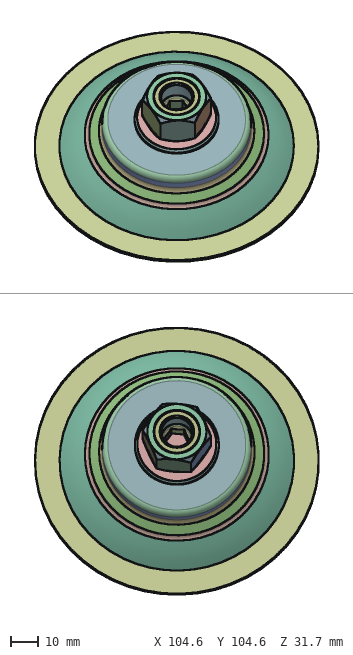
import cadquery as cq
import math

LIP_THICKNESS = 1.0
SKIRT_TOP_Z = 7.6
STEP_TOP_Z = 8.8
SHOULDER_TOP_Z = 10.4
FLARE_TOP_Z = 12.3
CUP_TOP_Z = 17.3
COLLAR_TOP_Z = 18.6
OVERALL_HEIGHT = 31.7

LIP_RADIUS = 52.3
SKIRT_BASE_RADIUS = 43.2
SKIRT_TOP_RADIUS = 33.9
SKIRT_BULGE = 0.4
STEP_RADIUS = 32.2
STEP_SAG = 0.3
SHOULDER_RADIUS = 28.7
FLARE_SAG = 0.2
CROWN_RADIUS = 55.0 / 2
CROWN_FILLET = 2.1

COLLAR_RADIUS = 31.0 / 2
COLLAR_CHAMFER = 0.9

NUT_FLATS = 22.0
NUT_FACE_RADIUS = 10.9
NUT_HEIGHT = OVERALL_HEIGHT - COLLAR_TOP_Z
THREAD_RADIUS = 16.6 / 2
NUT_BORE_CHAMFER = 0.2

BORE_RADIUS = 11.4 / 2
BORE_MOUTH_CHAMFER = 0.6
BORE_DEPTH = 7.0
SEAT_RADIUS = 10.0 / 2
SOCKET_FLATS = 8.0
DRILL_HALF_ANGLE = 59.0


def arc_through(start, end, offset):
    """Point at the middle of a profile arc, moved square to the chord by offset (left is positive)."""
    run = end[0] - start[0]
    rise = end[1] - start[1]
    chord = math.hypot(run, rise)
    middle_r = (start[0] + end[0]) / 2 - offset * rise / chord
    middle_z = (start[1] + end[1]) / 2 + offset * run / chord
    return (middle_r, middle_z)


def hex_prism(flats, height, base_z):
    """Upright hexagonal prism with two of its flats facing along X."""
    corner_diameter = flats / math.cos(math.pi / 6)
    prism = cq.Workplane("XY").polygon(6, corner_diameter).extrude(height)
    return prism.rotate((0, 0, 0), (0, 0, 1), 30).translate((0, 0, base_z))


def revolve_profile(profile):
    """Full turn of a closed (radius, z) profile about the Z axis."""
    return profile.close().revolve(360, (0, 0, 0), (0, 1, 0))


def make_cup():
    """Suction cup: flat lip, convex skirt, stepped shoulder and rounded crown."""
    skirt_base = (SKIRT_BASE_RADIUS, LIP_THICKNESS)
    skirt_top = (SKIRT_TOP_RADIUS, SKIRT_TOP_Z)
    step_top = (STEP_RADIUS, STEP_TOP_Z)
    shoulder_top = (SHOULDER_RADIUS, SHOULDER_TOP_Z)
    flare_top = (CROWN_RADIUS, FLARE_TOP_Z)
    profile = (
        cq.Workplane("XZ")
        .moveTo(0, 0)
        .lineTo(LIP_RADIUS, 0)
        .lineTo(LIP_RADIUS, LIP_THICKNESS)
        .lineTo(*skirt_base)
        .threePointArc(arc_through(skirt_base, skirt_top, -SKIRT_BULGE), skirt_top)
        .threePointArc(arc_through(skirt_top, step_top, STEP_SAG), step_top)
        .lineTo(*shoulder_top)
        .threePointArc(arc_through(shoulder_top, flare_top, FLARE_SAG), flare_top)
        .lineTo(CROWN_RADIUS, CUP_TOP_Z)
        .lineTo(0, CUP_TOP_Z)
    )
    return revolve_profile(profile).faces(">Z").edges().fillet(CROWN_FILLET)


def make_collar():
    """Round collar on top of the cup, chamfered around its upper edge."""
    disc = cq.Workplane("XY").circle(COLLAR_RADIUS).extrude(COLLAR_TOP_Z - CUP_TOP_Z)
    return disc.faces(">Z").edges().chamfer(COLLAR_CHAMFER).translate((0, 0, CUP_TOP_Z))


def make_nut():
    """Hexagon nut with 45 degree chamfered corners at both ends and a chamfered bore."""
    corner_radius = NUT_FLATS / 2 / math.cos(math.pi / 6)
    envelope = (
        cq.Workplane("XY")
        .workplane(offset=COLLAR_TOP_Z)
        .circle(corner_radius)
        .extrude(NUT_HEIGHT)
        .edges()
        .chamfer(corner_radius - NUT_FACE_RADIUS)
    )
    nut = hex_prism(NUT_FLATS, NUT_HEIGHT, COLLAR_TOP_Z).intersect(envelope)
    nut = nut.faces(">Z").workplane(origin=(0, 0, OVERALL_HEIGHT)).circle(THREAD_RADIUS).cutThruAll()
    return nut.faces(">Z").edges(cq.selectors.RadiusNthSelector(0)).chamfer(NUT_BORE_CHAMFER)


def make_bush():
    """Hollow bush: chamfered bore, two-stage cone and a hexagon socket through to its lower end."""
    bore_floor_z = OVERALL_HEIGHT - BORE_DEPTH
    seat_z = bore_floor_z - (BORE_RADIUS - SEAT_RADIUS)
    tip_z = seat_z - SEAT_RADIUS / math.tan(math.radians(DRILL_HALF_ANGLE))
    bore = revolve_profile(
        cq.Workplane("XZ")
        .moveTo(0, tip_z)
        .lineTo(SEAT_RADIUS, seat_z)
        .lineTo(BORE_RADIUS, bore_floor_z)
        .lineTo(BORE_RADIUS, OVERALL_HEIGHT - BORE_MOUTH_CHAMFER)
        .lineTo(BORE_RADIUS + BORE_MOUTH_CHAMFER, OVERALL_HEIGHT)
        .lineTo(0, OVERALL_HEIGHT)
    )
    socket = hex_prism(SOCKET_FLATS, seat_z - COLLAR_TOP_Z, COLLAR_TOP_Z)
    blank = cq.Workplane("XY").workplane(offset=COLLAR_TOP_Z).circle(THREAD_RADIUS).extrude(NUT_HEIGHT)
    return blank.cut(bore).cut(socket)


cup = make_cup()
collar = make_collar()
nut = make_nut()
bush = make_bush()

result = cq.Compound.makeCompound([cup.val(), collar.val(), nut.val(), bush.val()])